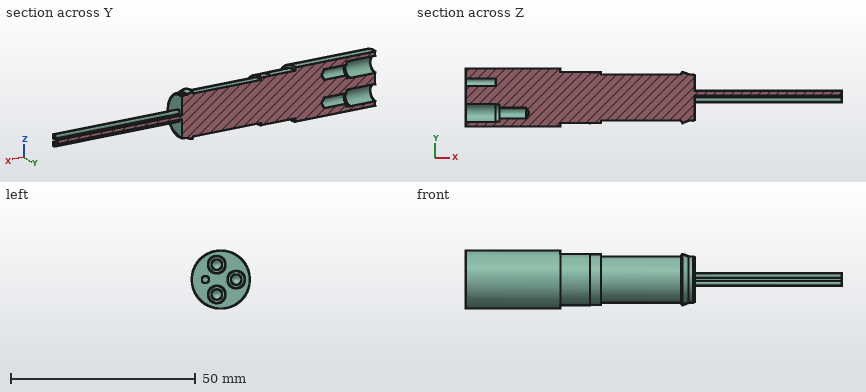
import cadquery as cq
import math

total_length = 102.2
head_end = 25.7
collar_seam = 33.7
collar_end = 36.8
barb_start = 58.4
barb_crest = 58.8
barb_end = 60.6
body_end = 62.2

head_diameter = 15.8
collar_diameter = 14.0
collar_rear_diameter = 13.9
body_diameter = 12.7
barb_diameter = 14.0
tail_chamfer_length = 0.5
tail_chamfer_drop = 0.3

socket_circle_radius = 4.2
socket_spread_angle = 105.0
socket_entry_diameter = 4.8
socket_entry_depth = 8.2
socket_seat_diameter = 4.6
socket_seat_depth = 9.2
socket_bore_diameter = 2.9
socket_bore_end = 16.3
drill_point_angle = 118.0

key_diameter = 1.9
key_depth = 8.2

wire_count = 3
wire_diameter = 1.3
wire_circle_radius = 1.2
wire_embed = 1.0


def revolve_about_x(points):
    """Turn a closed (x, radius) outline about the X axis."""
    return cq.Workplane("XY").polyline(points).close().revolve(360, (0, 0, 0), (1, 0, 0))


def make_shell():
    """Stepped outside of the connector with the barbed tail."""
    head_radius = head_diameter / 2
    collar_radius = collar_diameter / 2
    collar_rear_radius = collar_rear_diameter / 2
    body_radius = body_diameter / 2
    barb_radius = barb_diameter / 2
    return revolve_about_x([
        (0, 0),
        (0, head_radius),
        (head_end, head_radius),
        (head_end, collar_radius),
        (collar_seam, collar_radius),
        (collar_seam, collar_rear_radius),
        (collar_end, collar_rear_radius),
        (collar_end, body_radius),
        (barb_start, body_radius),
        (barb_crest, barb_radius),
        (barb_end, body_radius),
        (body_end - tail_chamfer_length, body_radius),
        (body_end, body_radius - tail_chamfer_drop),
        (body_end, 0),
    ])


def make_socket_cutter():
    """Stepped socket cavity centred on the X axis."""
    entry_radius = socket_entry_diameter / 2
    seat_radius = socket_seat_diameter / 2
    bore_radius = socket_bore_diameter / 2
    point_length = bore_radius / math.tan(math.radians(drill_point_angle / 2))
    return revolve_about_x([
        (0, 0),
        (0, entry_radius),
        (socket_entry_depth, entry_radius),
        (socket_entry_depth, seat_radius),
        (socket_seat_depth, seat_radius),
        (socket_seat_depth, bore_radius),
        (socket_bore_end, bore_radius),
        (socket_bore_end + point_length, 0),
    ])


def polar_offset(radius, angle):
    """Offset in the YZ plane, with the angle measured from +Y towards +Z."""
    return (0, radius * math.cos(math.radians(angle)), radius * math.sin(math.radians(angle)))


result = make_shell()

socket_cutter = make_socket_cutter()
for spread in (-socket_spread_angle, 0, socket_spread_angle):
    result = result.cut(socket_cutter.translate(polar_offset(socket_circle_radius, 180 + spread)))

key_hole = cq.Workplane("YZ").center(socket_circle_radius, 0).circle(key_diameter / 2).extrude(key_depth)
result = result.cut(key_hole)

wire_start = body_end - wire_embed
wire = (
    cq.Workplane("YZ", origin=(wire_start, 0, 0))
    .circle(wire_diameter / 2)
    .extrude(total_length - wire_start)
)
for index in range(wire_count):
    result = result.union(wire.translate(polar_offset(wire_circle_radius, index * 360 / wire_count)))